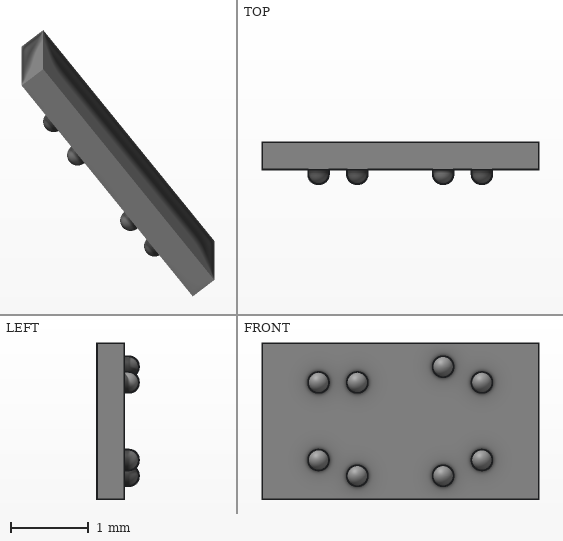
import cadquery as cq

body_length = 3.56
body_thickness = 0.352
body_height = 2.01

bump_diameter = 0.27
bump_radius = bump_diameter / 2
bump_shank = 0.055
bump_overlap = 0.035

column_pitch = 0.5
left_outer_x = -1.055
left_inner_x = left_outer_x + column_pitch
right_outer_x = 1.045
right_inner_x = right_outer_x - column_pitch
near_row_z = 0.5
far_row_z = 0.7

bump_centers = [
    (left_outer_x, near_row_z),
    (left_outer_x, -near_row_z),
    (left_inner_x, near_row_z),
    (left_inner_x, -far_row_z),
    (right_inner_x, far_row_z),
    (right_inner_x, -far_row_z),
    (right_outer_x, near_row_z),
    (right_outer_x, -near_row_z),
]

face_y = -body_thickness / 2


def make_bump(x, z):
    """Short cylinder with a hemispherical end, pointing toward -Y."""
    dome_y = face_y - bump_shank
    root_y = face_y + bump_overlap
    shank = (
        cq.Workplane("XZ", origin=(x, root_y, z))
        .circle(bump_radius)
        .extrude(bump_shank + bump_overlap)
    )
    dome = (
        cq.Workplane("XY", origin=(x, dome_y, z))
        .lineTo(bump_radius, 0)
        .radiusArc((0, -bump_radius), bump_radius)
        .close()
        .revolve(360, (0, 0), (0, 1))
    )
    return shank.union(dome)


result = cq.Workplane("XY").box(body_length, body_thickness, body_height)
for center_x, center_z in bump_centers:
    result = result.union(make_bump(center_x, center_z))